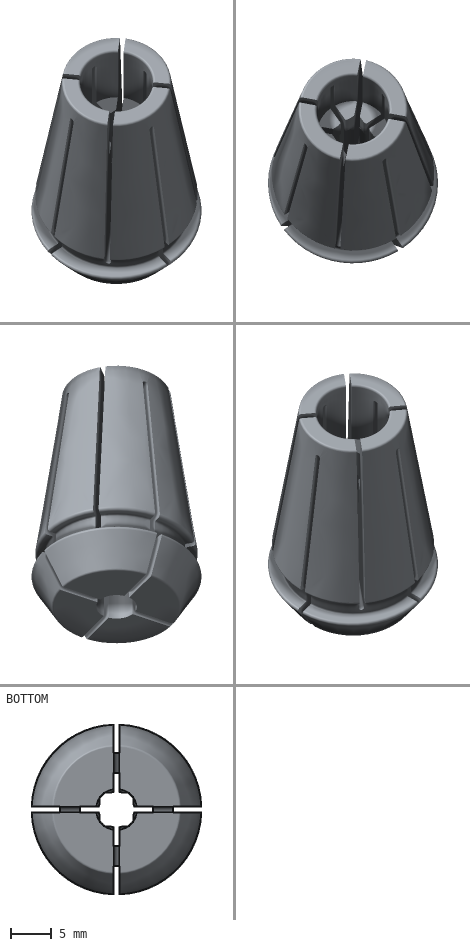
import cadquery as cq
import math

total_height = 31.5
taper_half_angle = 8.0
taper_base_radius = 10.0

flange_height = 4.82
flange_radius = 10.62
flange_half_angle = 30.0

groove_radius = 8.75
groove_width = 2.78

shank_bore_radius = 2.5
shank_bore_depth = 18.0
square_width = 4.1
square_length = 4.0
square_relief_radius = 2.18
rear_bore_radius = 4.45

slot_width = 0.7
slots_per_set = 4
slot_end_tilt = 4.7
straight_slot_top = total_height - 2.0
diagonal_slot_bottom = 5.5

edge_radius = 0.3
taper_base_edge_radius = 0.4
groove_root_radius = 0.2

groove_top = flange_height + groove_width
square_top = shank_bore_depth + square_length
base_radius = flange_radius - flange_height * math.tan(math.radians(flange_half_angle))
taper_length = total_height - groove_top
top_radius = taper_base_radius - taper_length * math.tan(math.radians(taper_half_angle))

tilt_slope = math.tan(math.radians(slot_end_tilt))
straight_slot_axis_end = straight_slot_top + top_radius * tilt_slope
diagonal_slot_axis_end = diagonal_slot_bottom - groove_radius * tilt_slope
slot_reach = 2 * flange_radius


def circle_edges(solid, radius, height):
    """Pick the circular edge of the given radius lying at the given height."""
    gap = 0.01
    reach = radius + gap
    inside = radius - gap
    candidates = solid.edges(
        cq.selectors.BoxSelector(
            (-reach, -reach, height - gap),
            (reach, reach, height + gap),
            boundingbox=True,
        )
    )
    return candidates.edges("%CIRCLE").filter(lambda edge: edge.radius() > inside)


def make_body():
    """Revolve the flange, groove and taper, then round the edges."""
    profile = [
        (0, 0),
        (base_radius, 0),
        (flange_radius, flange_height),
        (groove_radius, flange_height),
        (groove_radius, groove_top),
        (taper_base_radius, groove_top),
        (top_radius, total_height),
        (0, total_height),
    ]
    body = cq.Workplane("XZ").polyline(profile).close().revolve(360, (0, 0), (0, 1))

    roundings = [
        (base_radius, 0, edge_radius),
        (flange_radius, flange_height, edge_radius),
        (groove_radius, flange_height, groove_root_radius),
        (groove_radius, groove_top, groove_root_radius),
        (taper_base_radius, groove_top, taper_base_edge_radius),
        (top_radius, total_height, edge_radius),
    ]
    for radius, height, rounding in roundings:
        body = circle_edges(body, radius, height).fillet(rounding)
    return body


def cut_bore(body):
    """Cut the shank bore, drive square and rear bore, then round the rear mouth."""
    shank_bore = cq.Workplane("XY").circle(shank_bore_radius).extrude(shank_bore_depth)
    square = (
        cq.Workplane("XY")
        .workplane(offset=shank_bore_depth)
        .rect(square_width, square_width)
        .extrude(square_length)
    )
    relief = cq.Workplane("XY").circle(square_relief_radius).extrude(square_top)
    rear_bore = (
        cq.Workplane("XY")
        .workplane(offset=square_top)
        .circle(rear_bore_radius)
        .extrude(total_height - square_top)
    )
    bored = body.cut(shank_bore).cut(square).cut(relief).cut(rear_bore)
    return circle_edges(bored, rear_bore_radius, total_height).fillet(edge_radius)


def tilted_slot(end_height, opening):
    """Slot from the axis towards +X with a round closed end at the given height on the axis.

    The opening is +1 for a slot open at the top and -1 for one open at the bottom.
    The closed end tilts towards the open side as it runs outwards.
    """
    half_width = slot_width / 2
    shoulder = opening * half_width
    mouth = opening * total_height
    slot = (
        cq.Workplane("YZ")
        .moveTo(-half_width, mouth)
        .lineTo(-half_width, shoulder)
        .threePointArc((0, 0), (half_width, shoulder))
        .lineTo(half_width, mouth)
        .close()
        .extrude(slot_reach)
    )
    slot = slot.rotate((0, 0, 0), (0, 1, 0), -opening * slot_end_tilt)
    return slot.translate((0, 0, end_height))


def cut_slots(body):
    """Cut the straight slots on the axes and the diagonal slots between them."""
    straight_slot = tilted_slot(straight_slot_axis_end, -1)
    diagonal_slot = tilted_slot(diagonal_slot_axis_end, 1)
    pitch = 360 / slots_per_set
    for index in range(slots_per_set):
        angle = index * pitch
        body = body.cut(straight_slot.rotate((0, 0, 0), (0, 0, 1), angle))
        body = body.cut(diagonal_slot.rotate((0, 0, 0), (0, 0, 1), angle + pitch / 2))
    return body


result = cut_slots(cut_bore(make_body()))